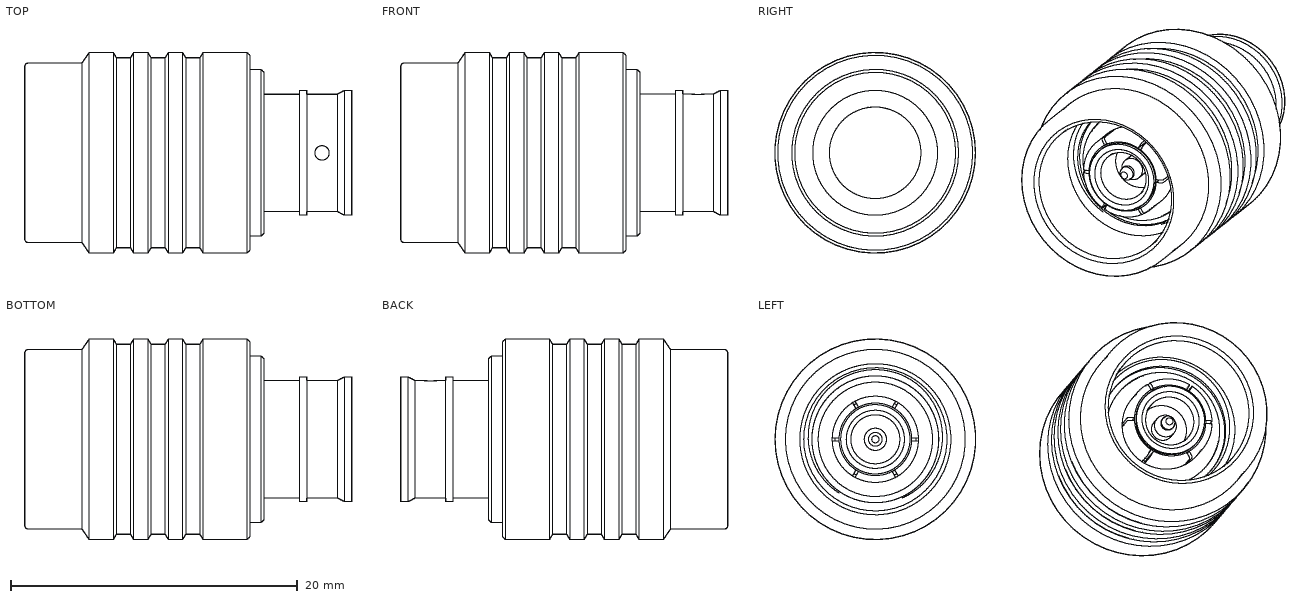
import cadquery as cq

LENGTH = 22.8

NOSE_RADIUS = 6.27
NOSE_LENGTH = 4.0
NOSE_EDGE_FILLET = 0.25
SHELL_RADIUS = 7.0
SHELL_FULL_START = 4.5
SHELL_END = 15.7
EDGE_CHAMFER = 0.2

GROOVE_COUNT = 3
GROOVE_START = 6.18
GROOVE_PITCH = 2.42
GROOVE_WIDTH = 1.41
GROOVE_FLOOR_RADIUS = 6.63
GROOVE_FLANK = 0.217

FLANGE_RADIUS = 5.81
FLANGE_END = 16.7
TAIL_RADIUS = 4.1
TAIL_RIM_RADIUS = 4.35
COLLAR_START = 19.15
COLLAR_END = 19.68
FLARE_START = 21.8
FLARE_END = 22.28
TAIL_BORE_RADIUS = 3.2
TAIL_BORE_START = 17.1
PEEP_HOLE_RADIUS = 0.5
PEEP_HOLE_X = 20.73

MOUTH_RADIUS = 5.27
CAVITY_RADIUS = 5.0
MOUTH_CHAMFER = MOUTH_RADIUS - CAVITY_RADIUS
CAVITY_CONE_START = 5.59
CAVITY_THROAT_RADIUS = 4.42
CAVITY_CONE_END = CAVITY_CONE_START + CAVITY_RADIUS - CAVITY_THROAT_RADIUS
CAVITY_FLOOR = 6.38

SEAT_SLOPE = 0.5
SEAT_RADIUS = 5.22
SEAT_START = 5.63
SEAT_DROP = 0.18

BARREL_RADIUS = 4.0
BARREL_FRONT = CAVITY_CONE_START
BARREL_FILLET = 0.43

COLLET_RADIUS = 3.0
COLLET_FRONT = 3.47
COLLET_FILLET = 0.2
INSULATOR_RADIUS = 2.42
INSULATOR_FRONT = 3.3
V_GROOVE = 0.11
SLOT_COUNT = 6
SLOT_WIDTH = 0.2
SLOT_INNER_RADIUS = INSULATOR_RADIUS + V_GROOVE
SLOT_END = BARREL_FRONT + 0.45
SLOT_FLOOR_RADIUS = 2.83

INSULATOR_MOUTH_RADIUS = 2.03
INSULATOR_BORE_RADIUS = 1.7
INSULATOR_CHAMFER = INSULATOR_MOUTH_RADIUS - INSULATOR_BORE_RADIUS
PIN_RADIUS = 0.78
PIN_TIP_RADIUS = 0.48
PIN_FLAT_RADIUS = 0.25
PIN_TIP = 3.75
PIN_TIP_TAPER_END = 4.2
PIN_SHOULDER = 4.45
PIN_SHOULDER_TAPER_END = 5.25


def turned(outline):
    """Revolve a list of (x, radius) points about the X axis."""
    return cq.Workplane("XY").polyline(outline).close().revolve(360, (0, 0, 0), (1, 0, 0))


def rod(radius, start, end):
    """Cylinder along X."""
    return cq.Workplane("YZ", origin=(start, 0, 0)).circle(radius).extrude(end - start)


def outer_body():
    outline = [(0, 0), (0, NOSE_RADIUS), (NOSE_LENGTH, NOSE_RADIUS), (SHELL_FULL_START, SHELL_RADIUS)]
    for index in range(GROOVE_COUNT):
        start = GROOVE_START + index * GROOVE_PITCH
        end = start + GROOVE_WIDTH
        outline += [
            (start, SHELL_RADIUS),
            (start + GROOVE_FLANK, GROOVE_FLOOR_RADIUS),
            (end - GROOVE_FLANK, GROOVE_FLOOR_RADIUS),
            (end, SHELL_RADIUS),
        ]
    outline += [
        (SHELL_END - EDGE_CHAMFER, SHELL_RADIUS),
        (SHELL_END, SHELL_RADIUS - EDGE_CHAMFER),
        (SHELL_END, FLANGE_RADIUS),
        (FLANGE_END - EDGE_CHAMFER, FLANGE_RADIUS),
        (FLANGE_END, FLANGE_RADIUS - EDGE_CHAMFER),
        (FLANGE_END, TAIL_RADIUS),
        (COLLAR_START, TAIL_RADIUS),
        (COLLAR_START, TAIL_RIM_RADIUS),
        (COLLAR_END, TAIL_RIM_RADIUS),
        (COLLAR_END, TAIL_RADIUS),
        (FLARE_START, TAIL_RADIUS),
        (FLARE_END, TAIL_RIM_RADIUS),
        (LENGTH, TAIL_RIM_RADIUS),
        (LENGTH, 0),
    ]
    return turned(outline).faces("<X").edges().fillet(NOSE_EDGE_FILLET)


def cavity():
    """Mating cavity, bounded by the 45 degree cone and by the off-centre seat."""
    concentric = turned([
        (0, 0),
        (0, MOUTH_RADIUS),
        (MOUTH_CHAMFER, CAVITY_RADIUS),
        (CAVITY_CONE_START, CAVITY_RADIUS),
        (CAVITY_CONE_END, CAVITY_THROAT_RADIUS),
        (CAVITY_FLOOR, CAVITY_THROAT_RADIUS),
        (CAVITY_FLOOR, 0),
    ])
    throat = rod(CAVITY_THROAT_RADIUS, 0, CAVITY_FLOOR)
    above_seat = turned([
        (0, 0),
        (0, MOUTH_RADIUS + SEAT_RADIUS),
        (SEAT_START, MOUTH_RADIUS + SEAT_RADIUS),
        (SEAT_START, SEAT_RADIUS),
        (SEAT_START + SEAT_SLOPE * SEAT_RADIUS, 0),
    ]).translate((0, 0, -SEAT_DROP))
    return concentric.intersect(above_seat).union(throat)


def barrel():
    return rod(BARREL_RADIUS, BARREL_FRONT, CAVITY_FLOOR).faces("<X").edges().fillet(BARREL_FILLET)


def collet():
    body = rod(COLLET_RADIUS, COLLET_FRONT, CAVITY_FLOOR).faces("<X").edges().fillet(COLLET_FILLET)
    v_groove = turned([
        (COLLET_FRONT, INSULATOR_RADIUS),
        (COLLET_FRONT, INSULATOR_RADIUS + V_GROOVE),
        (COLLET_FRONT + V_GROOVE, INSULATOR_RADIUS),
    ])
    insulator = rod(INSULATOR_RADIUS, INSULATOR_FRONT, CAVITY_FLOOR)
    return body.cut(v_groove).union(insulator)


def insulator_bore():
    return turned([
        (INSULATOR_FRONT, 0),
        (INSULATOR_FRONT, INSULATOR_MOUTH_RADIUS),
        (INSULATOR_FRONT + INSULATOR_CHAMFER, INSULATOR_BORE_RADIUS),
        (CAVITY_FLOOR, INSULATOR_BORE_RADIUS),
        (CAVITY_FLOOR, 0),
    ])


def pin():
    return turned([
        (PIN_TIP, 0),
        (PIN_TIP, PIN_FLAT_RADIUS),
        (PIN_TIP_TAPER_END, PIN_TIP_RADIUS),
        (PIN_SHOULDER, PIN_TIP_RADIUS),
        (PIN_SHOULDER_TAPER_END, PIN_RADIUS),
        (CAVITY_FLOOR, PIN_RADIUS),
        (CAVITY_FLOOR, 0),
    ])


def collet_slots():
    """Radial slots; each floor ends in a 45 degree slope up to the barrel face."""
    slot = (
        cq.Workplane("XY")
        .polyline([
            (COLLET_FRONT, SLOT_INNER_RADIUS),
            (SLOT_END, SLOT_INNER_RADIUS),
            (SLOT_END, SLOT_FLOOR_RADIUS),
            (BARREL_FRONT + COLLET_RADIUS - SLOT_FLOOR_RADIUS, SLOT_FLOOR_RADIUS),
            (BARREL_FRONT, COLLET_RADIUS),
            (COLLET_FRONT, COLLET_RADIUS),
        ])
        .close()
        .extrude(SLOT_WIDTH / 2, both=True)
    )
    slots = slot
    for index in range(1, SLOT_COUNT):
        slots = slots.union(slot.rotate((0, 0, 0), (1, 0, 0), index * 360 / SLOT_COUNT))
    return slots


def peep_hole():
    """Hole from the top of the tail into its bore."""
    return cq.Workplane("XY").center(PEEP_HOLE_X, 0).circle(PEEP_HOLE_RADIUS).extrude(TAIL_RIM_RADIUS)


result = (
    outer_body()
    .cut(cavity())
    .union(barrel())
    .union(collet())
    .cut(insulator_bore())
    .union(pin())
    .cut(collet_slots())
    .cut(rod(TAIL_BORE_RADIUS, TAIL_BORE_START, LENGTH))
    .cut(peep_hole())
)